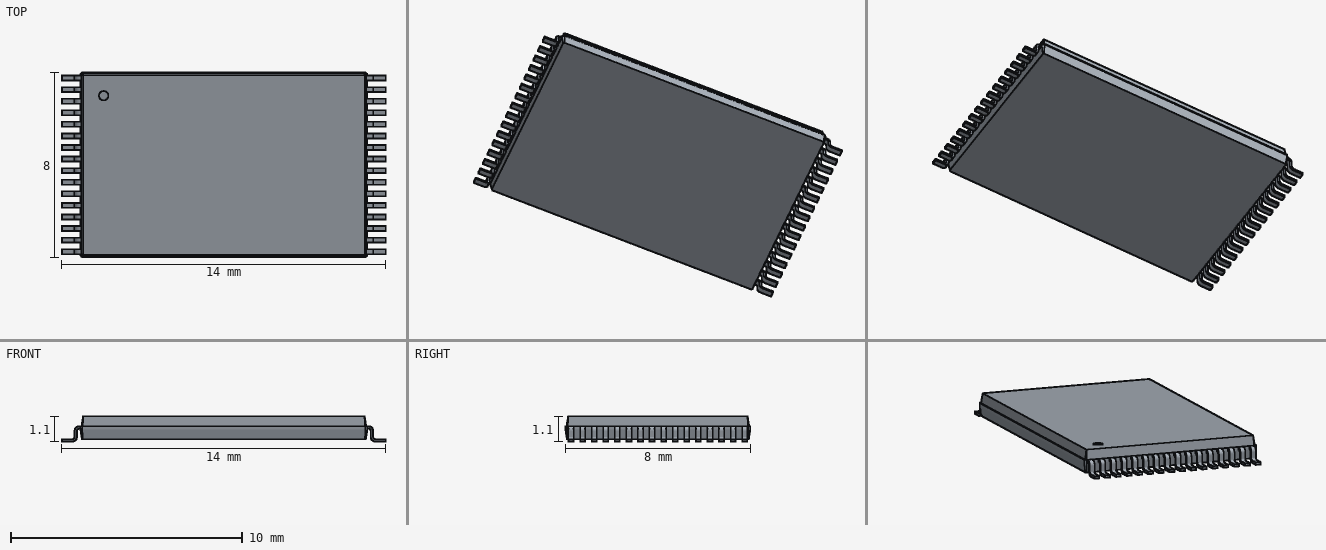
import cadquery as cq
import math

overall_length = 14.0
body_length = 12.4
body_width = 8.0
body_bottom = 0.1
body_top = 1.1
corner_chamfer = 0.08

band_bottom = 0.52
band_top = 0.67
upper_ledge = 0.049
draft_angle = 9.0

leads_per_side = 16
lead_row_span = 7.5
lead_pitch = lead_row_span / (leads_per_side - 1)
lead_width = 0.22
lead_thickness = 0.11
lead_top = band_top
leg_outer_x = 6.45
bend_inner_radius = 0.1
bend_outer_radius = bend_inner_radius + lead_thickness
lead_embed_depth = 0.28

dimple_diameter = 0.4
dimple_depth = 0.049
dimple_edge_distance = 1.01


def body_layer(start_z, height, taper=0.0, setback=0.0):
    """Chamfered rectangle, inset by setback and extruded from start_z; a negative height goes downwards."""
    half_length = body_length / 2 - setback
    half_width = body_width / 2 - setback
    chamfer = corner_chamfer - setback * (2 - math.sqrt(2))
    inner_length = half_length - chamfer
    inner_width = half_width - chamfer
    outline = [
        (half_length, -inner_width),
        (half_length, inner_width),
        (inner_length, half_width),
        (-inner_length, half_width),
        (-half_length, inner_width),
        (-half_length, -inner_width),
        (-inner_length, -half_width),
        (inner_length, -half_width),
    ]
    return cq.Workplane("XY").workplane(offset=start_z).polyline(outline).close().extrude(height, taper=taper)


def make_body():
    band = body_layer(band_bottom, band_top - band_bottom)
    upper = body_layer(band_top, body_top - band_top, draft_angle, upper_ledge)
    lower = body_layer(band_bottom, body_bottom - band_bottom, draft_angle)
    return band.union(upper).union(lower)


def make_dimple():
    x = dimple_edge_distance - body_length / 2
    y = body_width / 2 - dimple_edge_distance
    return (
        cq.Workplane("XY")
        .workplane(offset=body_top - dimple_depth)
        .center(x, y)
        .circle(dimple_diameter / 2)
        .extrude(dimple_depth)
    )


def make_lead():
    """Lead on the +X side, centred on Y = 0: bent strip swept along Y."""
    root_x = body_length / 2 - lead_embed_depth
    tip_x = overall_length / 2
    leg_inner_x = leg_outer_x - lead_thickness
    shoulder_x = leg_outer_x - bend_outer_radius
    shoulder_z = lead_top - bend_outer_radius
    heel_x = leg_inner_x + bend_outer_radius
    heel_z = bend_outer_radius
    profile = (
        cq.Workplane("XZ")
        .moveTo(root_x, lead_top)
        .lineTo(shoulder_x, lead_top)
        .radiusArc((leg_outer_x, shoulder_z), bend_outer_radius)
        .lineTo(leg_outer_x, heel_z)
        .radiusArc((heel_x, lead_thickness), -bend_inner_radius)
        .lineTo(tip_x, lead_thickness)
        .lineTo(tip_x, 0)
        .lineTo(heel_x, 0)
        .radiusArc((leg_inner_x, heel_z), bend_outer_radius)
        .lineTo(leg_inner_x, shoulder_z)
        .radiusArc((shoulder_x, lead_top - lead_thickness), -bend_inner_radius)
        .lineTo(root_x, lead_top - lead_thickness)
        .close()
    )
    return profile.extrude(lead_width / 2, both=True)


result = make_body().cut(make_dimple())

right_lead = make_lead()
left_lead = right_lead.mirror("YZ")
first_lead_y = -lead_row_span / 2
for index in range(leads_per_side):
    lead_y = first_lead_y + index * lead_pitch
    for lead in (left_lead, right_lead):
        result = result.union(lead.translate((0, lead_y, 0)))